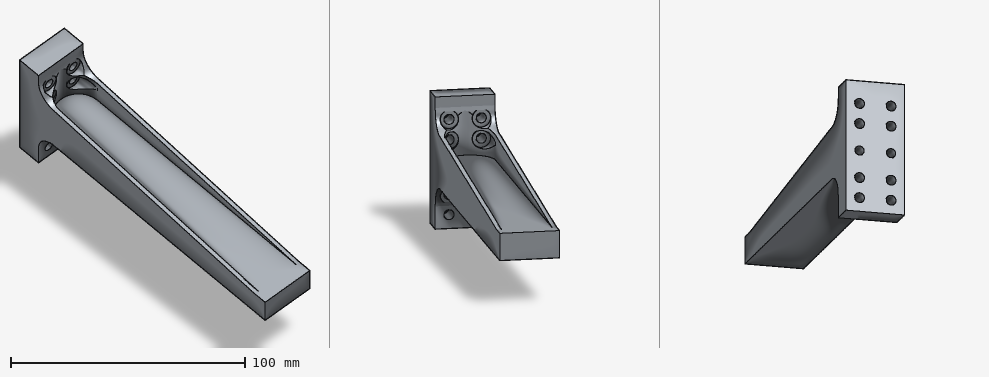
import cadquery as cq
import math

length = 154.0
width = 26.0
plate_height = 58.0
plate_thickness = 11.9

arm_bottom = -9.1
tip_top = 3.0
root_top = 15.0
taper_end = 147.0
blend_radius = 10.0

pocket_width = 21.9
pocket_start = 12.0

column_spacing = 14.0
through_diameter = 4.3
through_heights = (19.0, 10.0, -14.0, -23.0)
relief_diameter = 8.0
relief_start = pocket_start
relief_end = pocket_start + pocket_width / 2
blind_height = -2.0
blind_diameter = 4.0
blind_depth = 13.9
drill_point_angle = 118.0


def make_body():
    """Plate and tapered arm as one side profile, with its inner corners blended."""
    half_height = plate_height / 2
    taper_angle = math.atan2(root_top - tip_top, taper_end - plate_thickness)
    tangent_length = blend_radius * math.tan(taper_angle / 2)
    slope_tangent = (
        taper_end - tangent_length * math.cos(taper_angle),
        tip_top + tangent_length * math.sin(taper_angle),
    )
    body = (
        cq.Workplane("XZ", origin=(0, width / 2, 0))
        .moveTo(0, -half_height)
        .lineTo(plate_thickness, -half_height)
        .lineTo(plate_thickness, arm_bottom)
        .lineTo(length, arm_bottom)
        .lineTo(length, tip_top)
        .lineTo(taper_end + tangent_length, tip_top)
        .tangentArcPoint(slope_tangent, relative=False)
        .lineTo(plate_thickness, root_top)
        .lineTo(plate_thickness, half_height)
        .lineTo(0, half_height)
        .close()
        .extrude(width)
    )
    for z in (arm_bottom, root_top):
        corner_edge = cq.selectors.NearestToPointSelector((plate_thickness, 0, z))
        body = body.edges(corner_edge).fillet(blend_radius)
    return body


def make_pocket():
    """Cutter with a half-round end at the plate, open towards the tip and upwards."""
    radius = pocket_width / 2
    return (
        cq.Workplane("XY", origin=(0, 0, tip_top))
        .moveTo(length, -radius)
        .lineTo(pocket_start + radius, -radius)
        .threePointArc((pocket_start, 0), (pocket_start + radius, radius))
        .lineTo(length, radius)
        .close()
        .extrude(plate_height)
    )


def cylinder_along_x(start, end, diameter, y, z):
    return cq.Workplane("YZ", origin=(start, y, z)).circle(diameter / 2).extrude(end - start)


def make_through_hole(y, z):
    """Through hole, with a wider relief for the screw head behind the plate."""
    hole = cylinder_along_x(0, relief_start, through_diameter, y, z)
    return hole.union(cylinder_along_x(relief_start, relief_end, relief_diameter, y, z))


def make_blind_hole(y, z):
    """Blind hole with a conical drill point."""
    radius = blind_diameter / 2
    point_length = radius / math.tan(math.radians(drill_point_angle / 2))
    return (
        cq.Workplane("XY", origin=(0, y, z))
        .lineTo(0, radius)
        .lineTo(blind_depth, radius)
        .lineTo(blind_depth + point_length, 0)
        .close()
        .revolve(360, (0, 0, 0), (1, 0, 0))
    )


result = make_body().cut(make_pocket())
for column_y in (-column_spacing / 2, column_spacing / 2):
    for height in through_heights:
        result = result.cut(make_through_hole(column_y, height))
    result = result.cut(make_blind_hole(column_y, blind_height))